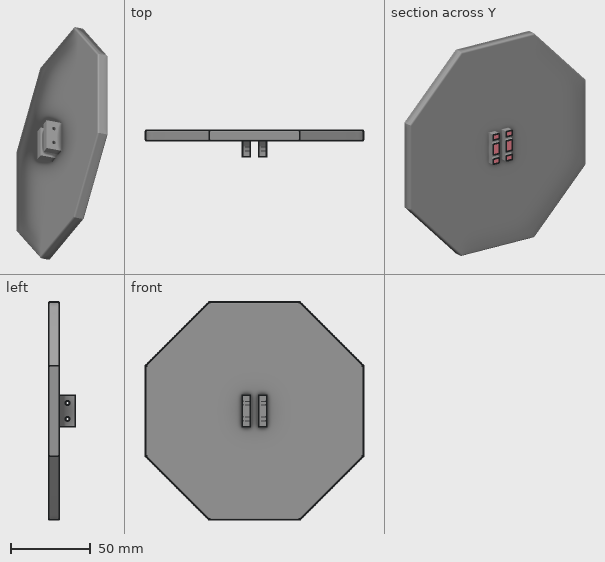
import cadquery as cq
import math

plate_width = 136.8
plate_thickness = 6.8
edge_radius = 1.1

lug_thickness = 5.0
lug_gap = 5.0
lug_height = 20.0
lug_length = 10.0
hole_diameter = 2.5
hole_spacing = lug_height / 2


def make_plate():
    """Regular octagon with flats on all four sides and both rims rounded."""
    across_corners = plate_width / math.cos(math.pi / 8)
    return (
        cq.Workplane("XZ")
        .transformed(rotate=(0, 0, 22.5))
        .polygon(8, across_corners)
        .extrude(-plate_thickness)
        .faces("<Y or >Y")
        .fillet(edge_radius)
    )


def make_lugs():
    """Two parallel lugs, standing out from the plate's front face at Y = 0."""
    lug_offset = (lug_gap + lug_thickness) / 2
    return (
        cq.Workplane("XZ")
        .pushPoints([(-lug_offset, 0), (lug_offset, 0)])
        .rect(lug_thickness, lug_height)
        .extrude(lug_length)
    )


def make_hole_cutters():
    """Two cylinders along X, long enough to pass through both lugs."""
    cutter_length = 2 * (2 * lug_thickness + lug_gap)
    return (
        cq.Workplane("YZ")
        .pushPoints([(-lug_length / 2, side * hole_spacing / 2) for side in (-1, 1)])
        .circle(hole_diameter / 2)
        .extrude(cutter_length / 2, both=True)
    )


lugs = make_lugs().cut(make_hole_cutters())
result = make_plate().union(lugs)